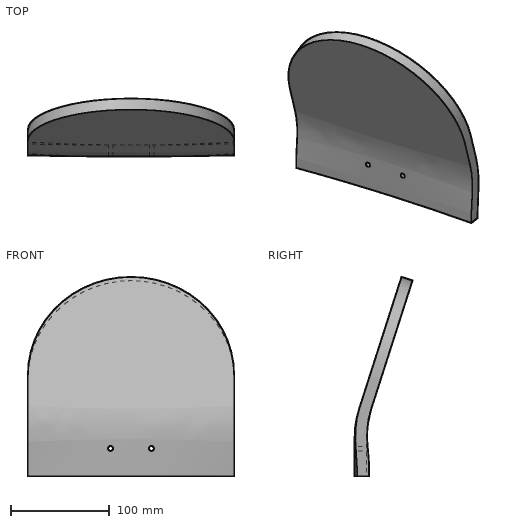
import cadquery as cq
import math

width = 209.5
height = 202.5
thickness = 12.0
half_width = width / 2

bend_height = 53.6
bend_radius = 100.5
lean_rise = height - bend_height
lean_angle = math.radians(17.8)

bow = 3.1
edge_rise = 2.5
edge_slope = edge_rise / bow

hole_diameter = 4.8
hole_spacing = 41.5
hole_height = 28.3

joint_drop = thickness * math.tan(lean_angle / 2)


def section_wire(front_y, front_z, section_slope, section_bow):
    """Plate cross-section across X, lying in a plane that climbs toward +Y."""
    def point(x, y):
        return cq.Vector(x, y, front_z + section_slope * (y - front_y))

    def long_edge(middle_y):
        left = point(-half_width, middle_y + section_bow)
        right = point(half_width, middle_y + section_bow)
        if section_bow == 0:
            return cq.Edge.makeLine(left, right)
        return cq.Edge.makeThreePointArc(left, point(0, middle_y), right)

    front = long_edge(front_y)
    back = long_edge(front_y + thickness)
    right_end = cq.Edge.makeLine(front.endPoint(), back.endPoint())
    left_end = cq.Edge.makeLine(back.startPoint(), front.startPoint())
    return cq.Wire.assembleEdges([front, right_end, back, left_end])


def upper_plate():
    """Leaning plate with a semicircular top, running down to the bend joint."""
    slant = lean_rise / math.cos(lean_angle)
    plane = cq.Plane(
        origin=(0, 0, bend_height),
        xDir=(1, 0, 0),
        normal=(0, -math.cos(lean_angle), math.sin(lean_angle)),
    )
    blank = (
        cq.Workplane(plane)
        .moveTo(-half_width, -thickness)
        .lineTo(half_width, -thickness)
        .lineTo(half_width, slant - half_width)
        .threePointArc((0, slant), (-half_width, slant - half_width))
        .close()
        .extrude(-thickness)
    )
    below_joint = (
        cq.Workplane("YZ")
        .polyline([
            (-thickness, bend_height + joint_drop),
            (2 * thickness, bend_height - 2 * joint_drop),
            (2 * thickness, 0),
            (-thickness, 0),
        ])
        .close()
        .extrude(half_width, both=True)
    )
    return blank.cut(below_joint)


def lower_skirt():
    """Ruled skirt from the straight joint to the bowed edge, ending flat at Z = 0."""
    joint = section_wire(0, bend_height, -joint_drop / thickness, 0)
    lower = section_wire(0, 0, edge_slope, bow)
    skirt = cq.Workplane(cq.Solid.makeLoft([joint, lower], True))
    foot_depth = edge_slope * (thickness + bow)
    foot_face = cq.Face.makeFromWires(lower)
    foot = cq.Workplane(cq.Solid.extrudeLinear(foot_face, cq.Vector(0, 0, -2 * foot_depth)))
    floor = cq.Workplane().box(2 * width, 2 * width, height, centered=(True, True, False))
    return skirt.union(foot.intersect(floor))


def round_bend(body):
    """Round the front and back of the bend concentrically."""
    front_edge = cq.selectors.NearestToPointSelector((0, 0, bend_height))
    back_edge = cq.selectors.NearestToPointSelector((0, thickness, bend_height - joint_drop))
    body = body.edges(front_edge).fillet(bend_radius)
    return body.edges(back_edge).fillet(bend_radius - thickness)


holes = (
    cq.Workplane("XZ", origin=(0, 0, hole_height))
    .pushPoints([(-hole_spacing / 2, 0), (hole_spacing / 2, 0)])
    .circle(hole_diameter / 2)
    .extrude(width, both=True)
)

result = round_bend(upper_plate().union(lower_skirt())).cut(holes)